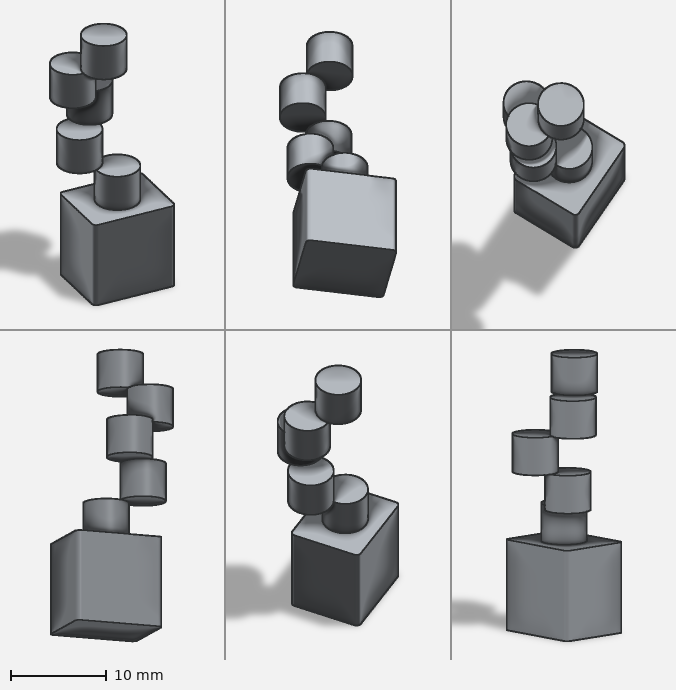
import cadquery as cq

base_length_x = 8.0
base_length_y = 9.6
base_height = 9.6
base_corner_radius = 0.5

total_height = 29.6
disc_diameter = 4.8
disc_centres = [
    (0.0, 0.0),
    (-2.4, -3.2),
    (-4.8, -0.8),
    (-2.4, -4.0),
    (0.0, -1.6),
]
disc_height = (total_height - base_height) / len(disc_centres)


def make_base():
    """Block standing on Z = 0 with rounded vertical edges."""
    block = cq.Workplane("XY").box(
        base_length_x, base_length_y, base_height, centered=(True, True, False)
    )
    return block.edges("|Z").fillet(base_corner_radius)


def make_disc(level, centre):
    """Disc at the given level of the stack, counted from zero."""
    bottom = base_height + level * disc_height
    return (
        cq.Workplane("XY", origin=(0, 0, bottom))
        .center(*centre)
        .circle(disc_diameter / 2)
        .extrude(disc_height)
    )


result = make_base()
for level, centre in enumerate(disc_centres):
    result = result.union(make_disc(level, centre))